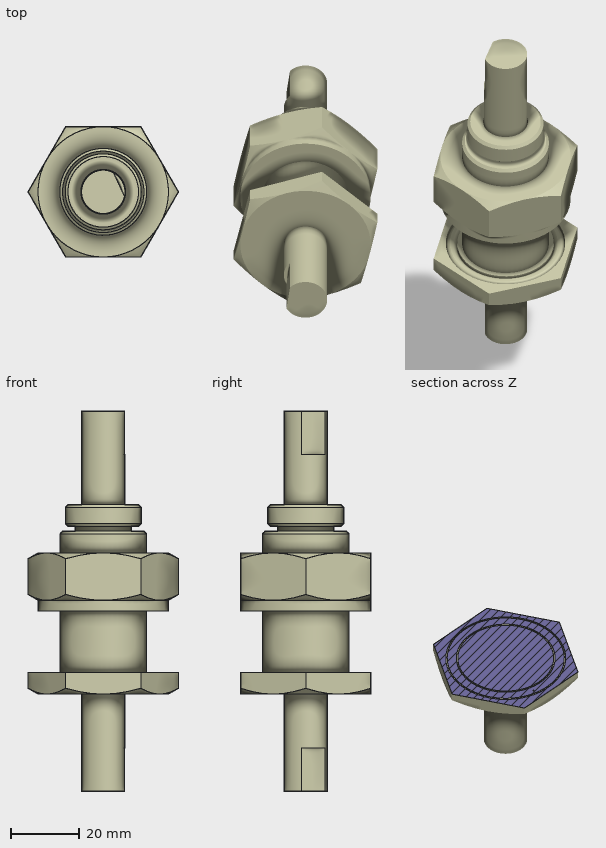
import cadquery as cq
import math

shaft_length = 111.125
shaft_diameter = 12.7
flat_length = 12.7
flat_distance = 5.08
flat_direction = 25.0

hex_across_flats = 38.1
hex_sides = 6
hex_across_corners = hex_across_flats / math.cos(math.pi / hex_sides)
hex_chamfer_angle = 30.0

nut_bottom = 28.448
nut_height = 6.35
nut_top = nut_bottom + nut_height
flange_bottom = 52.705
flange_height = 3.175
hex_bottom = flange_bottom + flange_height
body_top = 76.073
hub_height = 6.35
hex_top = body_top - hub_height
neck_height = 1.397
collar_bottom = body_top + neck_height
collar_height = 6.35
collar_top = collar_bottom + collar_height

body_diameter = 25.4
flange_diameter = hex_across_flats
neck_diameter = 16.51
collar_diameter = 22.225
edge_chamfer = 0.79375

collar_bore_diameter = 13.08
collar_bore_depth = collar_height

groove_inner_diameter = 28.194
groove_outer_diameter = 34.925
seal_section_diameter = 3.175
seal_flat_width = 1.0
seal_center_radius = (groove_inner_diameter + groove_outer_diameter) / 4
seal_half_height = math.sqrt(seal_section_diameter**2 - seal_flat_width**2) / 2
groove_depth = 2 * seal_half_height


def cylinder(diameter, bottom, top):
    """Solid cylinder on the Z axis between two levels."""
    return cq.Workplane("XY").workplane(offset=bottom).circle(diameter / 2).extrude(top - bottom)


def ring(inner_diameter, outer_diameter, bottom, top):
    """Plain ring on the Z axis between two levels."""
    return cylinder(outer_diameter, bottom, top).cut(cylinder(inner_diameter, bottom, top))


def hexagon(bottom, top, chamfer_top):
    """Hexagonal prism with corners on +X and -X, its lower and optionally upper corners chamfered."""
    prism = cq.Workplane("XY").workplane(offset=bottom).polygon(hex_sides, hex_across_corners)
    prism = prism.extrude(top - bottom)
    corner_radius = hex_across_corners / 2
    flat_radius = hex_across_flats / 2
    chamfer_drop = (corner_radius - flat_radius) * math.tan(math.radians(hex_chamfer_angle))

    outline = [(0, bottom), (flat_radius, bottom), (corner_radius, bottom + chamfer_drop)]
    if chamfer_top:
        outline += [(corner_radius, top - chamfer_drop), (flat_radius, top)]
    else:
        outline += [(corner_radius, top)]
    outline += [(0, top)]
    envelope = cq.Workplane("XZ").polyline(outline).close().revolve(360, (0, 0), (0, 1))
    return prism.intersect(envelope)


def make_shaft():
    """Round shaft with the same flat at both ends."""
    shaft = cylinder(shaft_diameter, 0, shaft_length)
    for bottom in (0, shaft_length - flat_length):
        waste = cq.Workplane("XY").box(
            shaft_diameter, shaft_diameter, flat_length, centered=(False, True, False)
        )
        shaft = shaft.cut(waste.translate((flat_distance, 0, bottom)))
    return shaft.rotate((0, 0, 0), (0, 0, 1), flat_direction)


def make_body():
    """Barrel with its flange, hexagon and chamfered hub."""
    barrel = cylinder(body_diameter, nut_bottom, body_top).faces(">Z").edges().chamfer(edge_chamfer)
    flange = cylinder(flange_diameter, flange_bottom, hex_bottom)
    return barrel.union(flange).union(hexagon(hex_bottom, hex_top, chamfer_top=True))


def make_collar():
    """Neck and chamfered collar, bored with clearance around the shaft."""
    collar = cylinder(collar_diameter, collar_bottom, collar_top)
    collar = collar.faces("<Z or >Z").edges().chamfer(edge_chamfer)
    collar = collar.union(cylinder(neck_diameter, body_top, collar_bottom))
    return collar.cut(cylinder(collar_bore_diameter, collar_top - collar_bore_depth, collar_top))


def make_jam_nut():
    """Thin hexagon nut with a face groove that holds the seal ring."""
    nut = hexagon(nut_bottom, nut_top, chamfer_top=False)
    groove_floor = nut_top - groove_depth
    nut = nut.cut(ring(groove_inner_diameter, groove_outer_diameter, groove_floor, nut_top))

    seal = (
        cq.Workplane("XZ")
        .center(seal_center_radius, nut_top - seal_half_height)
        .circle(seal_section_diameter / 2)
        .revolve(360, (-seal_center_radius, 0), (-seal_center_radius, 1))
    )
    squeeze = cylinder(groove_outer_diameter, groove_floor, nut_top)
    return nut.union(seal.intersect(squeeze))


result = make_body().union(make_collar()).union(make_jam_nut()).union(make_shaft())